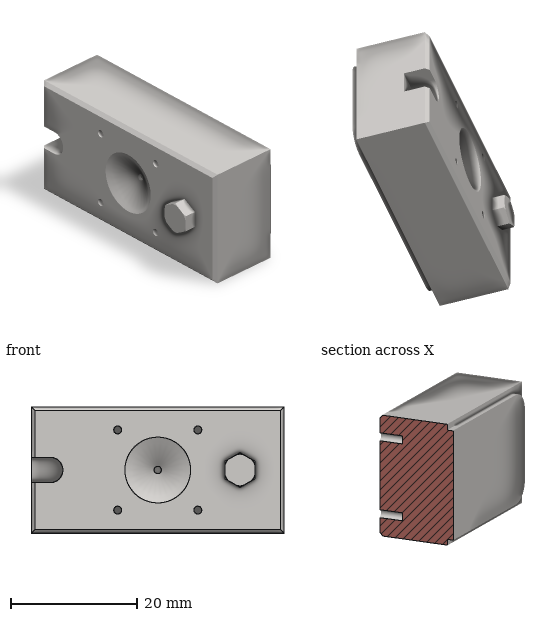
import cadquery as cq
import math

LENGTH = 40.0
HEIGHT = LENGTH / 2
DEPTH = 12.1
FRONT_CHAMFER = 0.6

PLATE_INSET = 0.95
PLATE_THICKNESS = 1.0
PLATE_CORNER_RADIUS = 3.2

CONE_DIAMETER = 10.4
CONE_ANGLE = 120.0
PILOT_DIAMETER = 1.15
PILOT_LENGTH = 0.5

SMALL_HOLE_DIAMETER = 1.25
SMALL_HOLE_SPACING = 12.7
SMALL_HOLE_DEPTH = 4.0

SLOT_WIDTH = 4.0
SLOT_LENGTH = 5.0
SLOT_DEPTH = 4.1

HEAD_X = 13.0
HEAD_ACROSS_FLATS = 4.75
HEAD_HEIGHT = 2.1
HEAD_TOP_DIAMETER = 5.0
HEAD_CHAMFER_ANGLE = 30.0


def front_plane(y=0.0):
    """Plane parallel to the front face, with its normal pointing into the block (+Y)."""
    return cq.Plane(origin=(0, y, 0), xDir=(1, 0, 0), normal=(0, 1, 0))


def make_block():
    block = cq.Workplane(front_plane()).rect(LENGTH, HEIGHT).extrude(DEPTH)
    return block.faces("<Y").chamfer(FRONT_CHAMFER)


def make_back_plate():
    plate = (
        cq.Workplane(front_plane(DEPTH))
        .rect(LENGTH - 2 * PLATE_INSET, HEIGHT - 2 * PLATE_INSET)
        .extrude(PLATE_THICKNESS)
    )
    return plate.edges("|Y").fillet(PLATE_CORNER_RADIUS)


def make_cone_cutter():
    """Cone and blind hole, turned as one profile about the Y axis."""
    cone_radius = CONE_DIAMETER / 2
    pilot_radius = PILOT_DIAMETER / 2
    cone_depth = (cone_radius - pilot_radius) / math.tan(math.radians(CONE_ANGLE / 2))
    pilot_end = cone_depth + PILOT_LENGTH
    return (
        cq.Workplane("XY")
        .moveTo(0, 0)
        .lineTo(cone_radius, 0)
        .lineTo(pilot_radius, cone_depth)
        .lineTo(pilot_radius, pilot_end)
        .lineTo(0, pilot_end)
        .close()
        .revolve(360, (0, 0, 0), (0, 1, 0))
    )


def make_small_holes_cutter():
    return (
        cq.Workplane(front_plane())
        .rect(SMALL_HOLE_SPACING, SMALL_HOLE_SPACING, forConstruction=True)
        .vertices()
        .circle(SMALL_HOLE_DIAMETER / 2)
        .extrude(SMALL_HOLE_DEPTH)
    )


def make_slot_cutter():
    slot_radius = SLOT_WIDTH / 2
    open_end = -LENGTH / 2
    round_end = open_end + SLOT_LENGTH
    arc_start = round_end - slot_radius
    return (
        cq.Workplane(front_plane())
        .moveTo(open_end, -slot_radius)
        .lineTo(arc_start, -slot_radius)
        .threePointArc((round_end, 0), (arc_start, slot_radius))
        .lineTo(open_end, slot_radius)
        .close()
        .extrude(SLOT_DEPTH)
    )


def make_hex_head():
    """Hexagonal prism whose outer corners are trimmed by a shallow cone."""
    across_corners = HEAD_ACROSS_FLATS / math.cos(math.pi / 6)
    prism = (
        cq.Workplane(front_plane())
        .polygon(6, across_corners)
        .extrude(-HEAD_HEIGHT)
        .rotate((0, 0, 0), (0, 1, 0), 90)
    )
    top_radius = HEAD_TOP_DIAMETER / 2
    base_radius = top_radius + HEAD_HEIGHT / math.tan(math.radians(HEAD_CHAMFER_ANGLE))
    trimming_cone = (
        cq.Workplane("XY")
        .moveTo(0, 0)
        .lineTo(base_radius, 0)
        .lineTo(top_radius, -HEAD_HEIGHT)
        .lineTo(0, -HEAD_HEIGHT)
        .close()
        .revolve(360, (0, 0, 0), (0, 1, 0))
    )
    return prism.intersect(trimming_cone).translate((HEAD_X, 0, 0))


result = (
    make_block()
    .union(make_back_plate())
    .cut(make_cone_cutter())
    .cut(make_small_holes_cutter())
    .cut(make_slot_cutter())
    .union(make_hex_head())
)